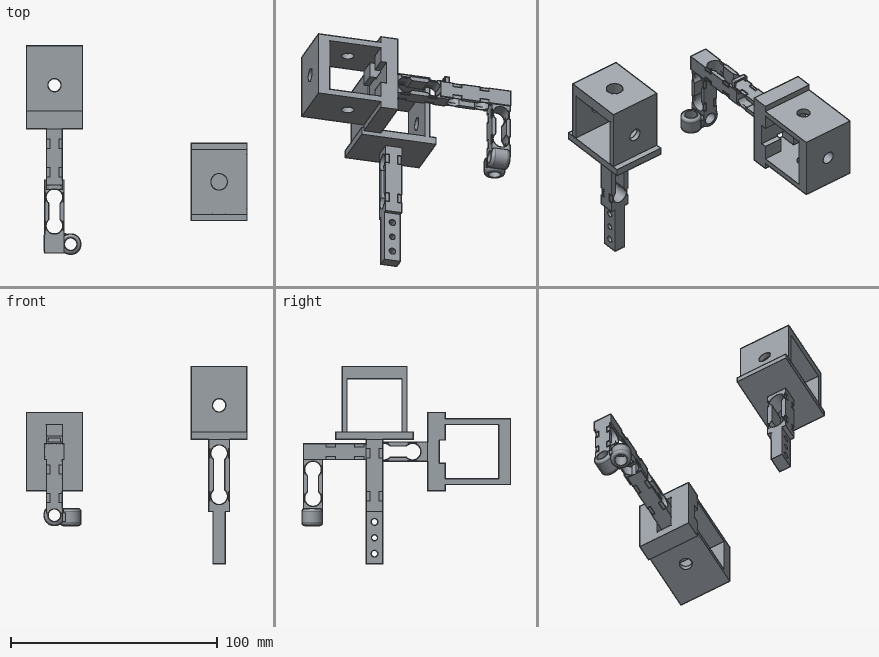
import cadquery as cq


bore_diameter = 8.0
slot_width = 5.3
notch_length = 4.5

arm_sleeve_width = 27.28
arm_sleeve_height = 31.9
arm_cavity_height = 26.1
arm_sleeve_back = 65.9
arm_cavity_back = 60.1
flange_back = 34.3
flange_front = 25.7
flange_height = 38.0
groove_height = 11.1
groove_depth = 2.85
arm_screw_diameter = 6.25
arm_screw_y = 46.8

arm_beam_width = 9.4
arm_beam_depth = 7.8
arm_notch_width = 1.65
arm_notch_depth = 0.45
arm_bore_spacing = 13.8
near_beam_end = -3.6
near_bore_center = 11.5
far_beam_start = 1.0
far_beam_end = -34.5
far_bore_center = -14.35
drop_beam_top = -0.6
drop_beam_bottom = -29.75
drop_bore_center = -15.6

loop_height = 2.9
loop_thickness = 2.0
loop_fillet = 0.8
loop_opening_width = 6.1
loop_opening_height = 2.0

foot_eye_diameter = 10.2
side_eye_diameter = 10.0
eye_bore_diameter = 6.0
foot_eye_length = 9.4
eye_fillet = 1.5
foot_eye_clearance = 0.3
eye_center_z = -30.8
side_eye_height = 8.35
neck_reach = 5.6
neck_bottom = -33.8
side_eye_offset = 7.85
side_eye_y = -30.18

post_x = 79.75
post_sleeve_width = 27.0
post_flange_width = 27.2
post_sleeve_depth = 31.5
post_cavity_depth = 26.5
post_sleeve_top = 41.3
post_cavity_top = 35.2
post_flange_top = 9.6
post_flange_bottom = 5.9
post_flange_depth = 37.6
post_screw_diameter = 6.35
post_top_hole_diameter = 8.0

post_beam_width = 10.2
post_beam_depth = 8.2
post_beam_bottom = -29.1
post_notch_width = 2.0
post_notch_depth = 0.6
post_bore_spacing = 20.8
post_bore_center = -11.2
tail_width = 6.0
tail_bottom = -54.37
tail_hole_diameter = 3.15
tail_middle_hole_diameter = 2.85
tail_hole_spacing = 7.7


def block(x_range, y_range, z_range):
    """Box between two limits along each axis."""
    size = [high - low for low, high in (x_range, y_range, z_range)]
    return cq.Workplane("XY").box(*size, centered=False).translate((x_range[0], y_range[0], z_range[0]))


def centered(size, center=0.0):
    """Limits of a length placed symmetrically about a center."""
    return (center - size / 2, center + size / 2)


def rod(diameter, length, center, axis):
    """Cylinder along a named axis, centered on a point."""
    tilt = {"X": ((0, 1, 0), 90), "Y": ((1, 0, 0), 90), "Z": ((0, 0, 1), 0)}[axis]
    cylinder = cq.Workplane("XY").cylinder(length, diameter / 2)
    return cylinder.rotate((0, 0, 0), *tilt).translate(center)


def flexure_beam(width, depth, bottom, top, bore_spacing, notch_width, notch_depth):
    """Upright beam, bored along Y, whose two bores lie evenly about Z = 0."""
    beam = block(centered(width), centered(depth), (bottom, top))
    beam = beam.cut(block(centered(slot_width), centered(depth), centered(bore_spacing)))
    for bore_z in centered(bore_spacing):
        beam = beam.cut(rod(bore_diameter, depth, (0, 0, bore_z), "Y"))
        for x_side in (-1, 1):
            for y_side in (-1, 1):
                notch = cq.Workplane("XY").box(2 * notch_depth, 2 * notch_width, notch_length)
                corner = (x_side * width / 2, y_side * depth / 2, bore_z)
                beam = beam.cut(notch.translate(corner))
    return beam


def arm_sleeve():
    """Square tube along X with a flange that has a window and a wide groove behind it."""
    x_range = centered(arm_sleeve_width)
    sleeve = block(x_range, (flange_back, arm_sleeve_back), centered(arm_sleeve_height))
    sleeve = sleeve.union(block(x_range, (flange_front, flange_back), centered(flange_height)))
    sleeve = sleeve.cut(block(x_range, (flange_back, arm_cavity_back), centered(arm_cavity_height)))
    sleeve = sleeve.cut(block(x_range, (flange_back - groove_depth, flange_back), centered(groove_height)))
    window = block(centered(arm_beam_depth), (flange_front, flange_back), centered(arm_cavity_height))
    sleeve = sleeve.cut(window)
    sleeve = sleeve.cut(rod(arm_screw_diameter, arm_sleeve_height, (0, arm_screw_y, 0), "Z"))
    wall = arm_sleeve_back - arm_cavity_back
    wall_y = (arm_sleeve_back + arm_cavity_back) / 2
    return sleeve.cut(rod(arm_screw_diameter, wall, (0, wall_y, 0), "Y"))


def near_beam():
    """Beam from the flange, bored along X."""
    beam_back = flange_back - groove_depth
    beam = flexure_beam(
        arm_beam_width, arm_beam_depth,
        near_beam_end - near_bore_center, beam_back - near_bore_center,
        arm_bore_spacing, arm_notch_width, arm_notch_depth,
    )
    beam = beam.rotate((0, 0, 0), (1, 1, 1), 240)
    return beam.translate((0, near_bore_center, 0))


def far_beam():
    """Beam along Y, bored along Z, that crosses the end of the near beam."""
    beam = flexure_beam(
        arm_beam_width, arm_beam_depth,
        far_beam_end - far_bore_center, far_beam_start - far_bore_center,
        arm_bore_spacing, arm_notch_width, arm_notch_depth,
    )
    return beam.rotate((0, 0, 0), (1, 0, 0), -90).translate((0, far_bore_center, 0))


def drop_beam():
    """Beam hanging from the end of the far beam, bored along X."""
    beam = flexure_beam(
        arm_beam_width, arm_beam_depth,
        drop_beam_bottom - drop_bore_center, drop_beam_top - drop_bore_center,
        arm_bore_spacing, arm_notch_width, arm_notch_depth,
    )
    beam = beam.rotate((0, 0, 0), (0, 0, 1), 90)
    return beam.translate((0, far_beam_end + arm_beam_width / 2, drop_bore_center))


def cable_loop():
    """Small bridge across the top of the near beam, at its end."""
    y_range = (near_beam_end, near_beam_end + loop_thickness)
    base_z = arm_beam_width / 2
    loop = block(centered(arm_beam_depth), y_range, (base_z, base_z + loop_height))
    loop = loop.edges("|Y and >Z").fillet(loop_fillet)
    opening = block(centered(loop_opening_width), y_range, (base_z, base_z + loop_opening_height))
    return loop.cut(opening.edges("|Y and >Z").fillet(loop_fillet))


def eye_blank(diameter, length, center, axis):
    """Rounded disc that becomes an eye once it is bored."""
    return rod(diameter, length, center, axis).edges().fillet(eye_fillet)


def crossed_eyes():
    """Eye along Y under the drop beam and an eye along Z beside it, joined by a short neck."""
    foot_y = far_beam_end + foot_eye_length / 2
    foot_center = (0, foot_y, eye_center_z)
    foot_bottom = eye_center_z - foot_eye_diameter / 2
    side_center = (side_eye_offset, side_eye_y, foot_bottom + side_eye_height / 2)
    eyes = eye_blank(foot_eye_diameter, foot_eye_length, foot_center, "Y")
    lower_bore_bottom = drop_bore_center - (arm_bore_spacing + bore_diameter) / 2
    eye_top = lower_bore_bottom - foot_eye_clearance
    eyes = eyes.cut(
        block(centered(foot_eye_diameter), centered(foot_eye_length, foot_y), (eye_top, drop_beam_top))
    )
    eyes = eyes.union(eye_blank(side_eye_diameter, side_eye_height, side_center, "Z"))
    neck = block(
        (arm_beam_depth / 2, neck_reach), centered(foot_eye_length, foot_y), (neck_bottom, drop_beam_bottom)
    )
    return eyes.union(neck), foot_center, side_center


def long_arm():
    eyes, foot_center, side_center = crossed_eyes()
    arm = arm_sleeve()
    for part in (near_beam(), far_beam(), drop_beam(), cable_loop(), eyes):
        arm = arm.union(part)
    arm = arm.cut(rod(eye_bore_diameter, foot_eye_length, foot_center, "Y"))
    return arm.cut(rod(eye_bore_diameter, side_eye_height, side_center, "Z"))


def post_sleeve():
    """Square tube along X with a thin flange below; the flange overhangs the tube at +X."""
    left = -post_flange_width / 2
    x_range = (left, left + post_sleeve_width)
    sleeve = block(x_range, centered(post_sleeve_depth), (post_flange_top, post_sleeve_top))
    sleeve = sleeve.cut(block(x_range, centered(post_cavity_depth), (post_flange_top, post_cavity_top)))
    sleeve = sleeve.union(
        block(centered(post_flange_width), centered(post_flange_depth), (post_flange_bottom, post_flange_top))
    )
    screw_z = (post_flange_top + post_cavity_top) / 2
    sleeve = sleeve.cut(rod(post_screw_diameter, post_sleeve_depth, (0, 0, screw_z), "Y"))
    wall = post_sleeve_top - post_cavity_top
    wall_z = (post_sleeve_top + post_cavity_top) / 2
    return sleeve.cut(rod(post_top_hole_diameter, wall, (0, 0, wall_z), "Z"))


def tail():
    """Narrow end of the post with three cross holes, the middle one smaller."""
    strip = block(centered(tail_width), centered(post_beam_depth), (tail_bottom, post_beam_bottom))
    middle_z = (tail_bottom + post_beam_bottom) / 2
    for step in (-1, 0, 1):
        diameter = tail_hole_diameter if step else tail_middle_hole_diameter
        strip = strip.cut(rod(diameter, tail_width, (0, 0, middle_z + step * tail_hole_spacing), "X"))
    return strip


def post():
    beam = flexure_beam(
        post_beam_width, post_beam_depth,
        post_beam_bottom - post_bore_center, post_flange_bottom - post_bore_center,
        post_bore_spacing, post_notch_width, post_notch_depth,
    )
    beam = beam.translate((0, 0, post_bore_center))
    return post_sleeve().union(beam).union(tail()).translate((post_x, 0, 0))


result = cq.Compound.makeCompound([long_arm().val(), post().val()])